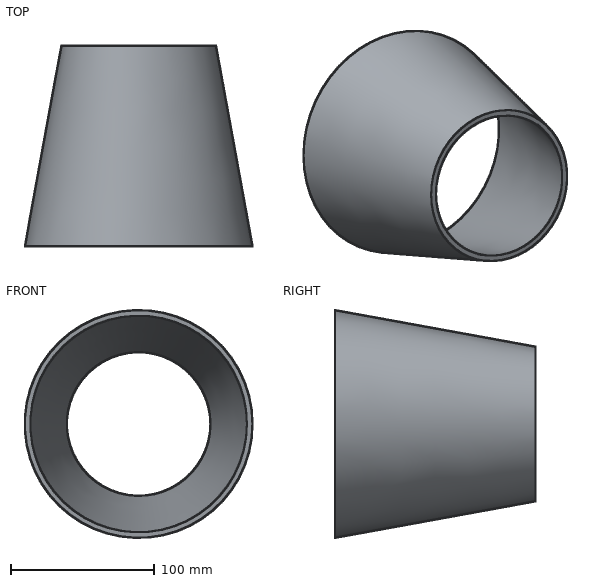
import cadquery as cq

large_diameter = 159.0
small_diameter = 108.0
length = 140.0
wall = 4.0

large_radius = large_diameter / 2
small_radius = small_diameter / 2

wall_section = (
    cq.Workplane("XY")
    .moveTo(large_radius - wall, 0)
    .lineTo(large_radius, 0)
    .lineTo(small_radius, length)
    .lineTo(small_radius - wall, length)
    .close()
)

result = wall_section.revolve(360, (0, 0, 0), (0, 1, 0))